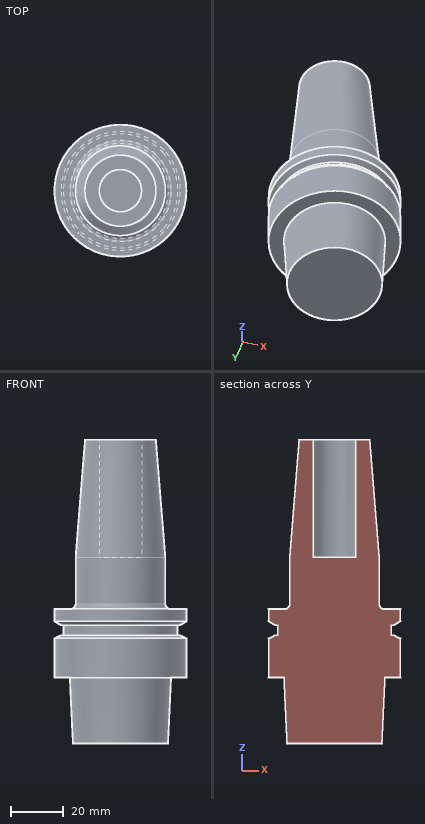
import cadquery as cq

total_height = 115.0
shank_height = 25.0
groove_lower_edge = 39.8
groove_floor_bottom = 41.0
groove_floor_top = 44.7
groove_upper_edge = 46.2
flange_top = 51.0
neck_top = 70.6

flange_radius = 50.0 / 2
groove_radius = 21.6
groove_ledge_radius = 22.5
shank_end_radius = 18.0
shank_root_radius = 19.2
neck_radius = 17.0
nose_radius = 13.5
bore_diameter = 16.0
neck_fillet = 2.0

bore_depth = total_height - neck_top


def make_body():
    """Revolve the outer profile of the tool holder about Z."""
    return (
        cq.Workplane("XZ")
        .moveTo(0, 0)
        .lineTo(shank_end_radius, 0)
        .lineTo(shank_root_radius, shank_height)
        .lineTo(flange_radius, shank_height)
        .lineTo(flange_radius, groove_lower_edge)
        .lineTo(groove_ledge_radius, groove_floor_bottom)
        .lineTo(groove_radius, groove_floor_bottom)
        .lineTo(groove_radius, groove_floor_top)
        .lineTo(groove_ledge_radius, groove_floor_top)
        .lineTo(flange_radius, groove_upper_edge)
        .lineTo(flange_radius, flange_top)
        .lineTo(neck_radius + neck_fillet, flange_top)
        .radiusArc((neck_radius, flange_top + neck_fillet), neck_fillet)
        .lineTo(neck_radius, neck_top)
        .lineTo(nose_radius, total_height)
        .lineTo(0, total_height)
        .close()
        .revolve(360, (0, 0, 0), (0, 1, 0))
    )


def cut_bore(body):
    """Drill the flat-bottomed bore down from the nose."""
    return body.faces(">Z").workplane().hole(bore_diameter, bore_depth)


result = cut_bore(make_body())